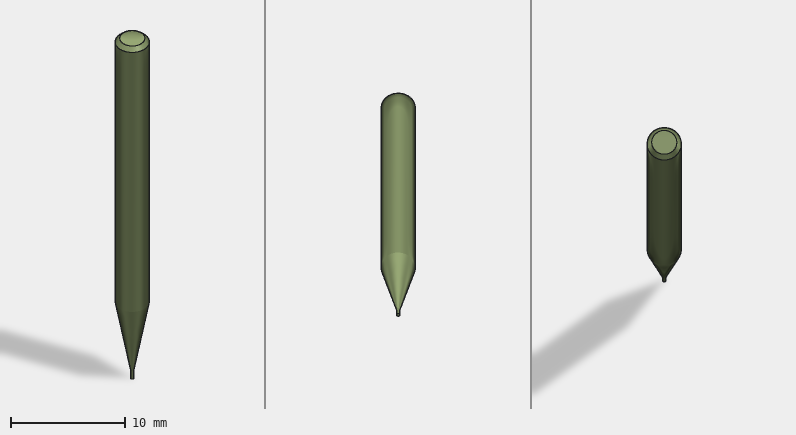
import math

import cadquery as cq

overall_length = 38.0
shank_diameter = 3.0
shank_chamfer = 0.4
tip_diameter = 0.3
tip_length = 0.9
taper_half_angle = 10.0

shank_radius = shank_diameter / 2
tip_radius = tip_diameter / 2
taper_length = (shank_radius - tip_radius) / math.tan(math.radians(taper_half_angle))
taper_end_height = tip_length + taper_length


def half_profile():
    """Half section of the tool in the XZ plane, from the tip up to the shank end."""
    return (
        cq.Workplane("XZ")
        .moveTo(0, 0)
        .lineTo(tip_radius, 0)
        .lineTo(tip_radius, tip_length)
        .lineTo(shank_radius, taper_end_height)
        .lineTo(shank_radius, overall_length - shank_chamfer)
        .lineTo(shank_radius - shank_chamfer, overall_length)
        .lineTo(0, overall_length)
        .close()
    )


result = half_profile().revolve(360, (0, 0, 0), (0, 1, 0))